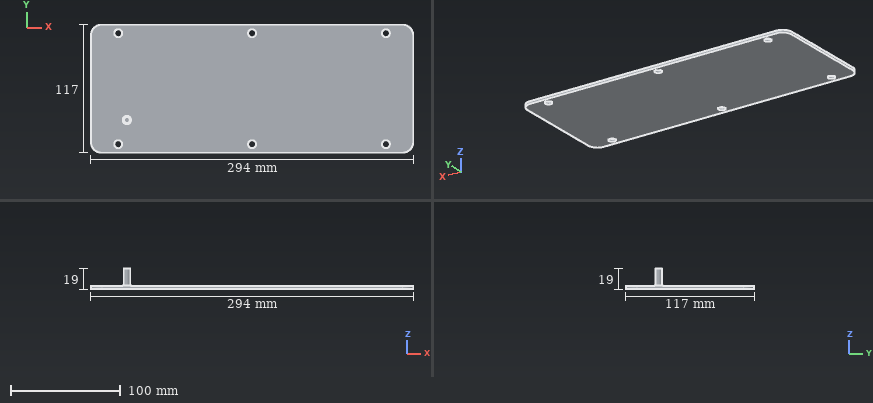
import cadquery as cq

plate_length = 294.0
plate_width = 117.0
plate_thickness = 3.0
corner_radius = 10.0

hole_diameter = 7.0
hole_column_spacing = 122.0
hole_row_spacing = 101.0

overall_height = 19.0
stud_x = -114.0
stud_y = -28.5
stud_diameter = 6.2
tip_chamfer = 0.45
collar_diameter = 7.5
collar_height = 1.0


def make_plate():
    """Rounded plate resting on Z = 0, with its through holes."""
    return (
        cq.Workplane("XY")
        .box(plate_length, plate_width, plate_thickness, centered=(True, True, False))
        .edges("|Z")
        .fillet(corner_radius)
        .faces(">Z")
        .workplane(origin=(0, 0, plate_thickness))
        .rarray(hole_column_spacing, hole_row_spacing, 3, 2)
        .hole(hole_diameter)
    )


def make_post(diameter, top):
    """Upright cylinder on the stud axis, from the plate underside to the given height."""
    return cq.Workplane("XY").center(stud_x, stud_y).circle(diameter / 2).extrude(top)


collar = make_post(collar_diameter, plate_thickness + collar_height)
stud = make_post(stud_diameter, overall_height).faces(">Z").chamfer(tip_chamfer)

result = make_plate().union(collar).union(stud)